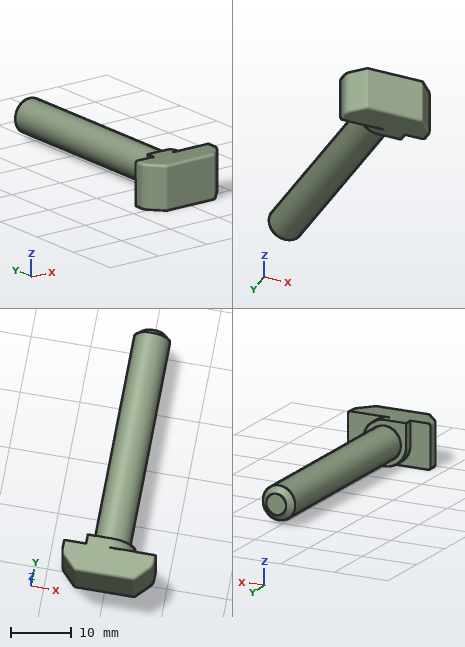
import cadquery as cq

TOTAL_LENGTH = 45.0
HEAD_WIDTH = 15.4
HEAD_HEIGHT = 8.0
HEAD_DEPTH = 5.0
BEVEL_WIDTH = 2.7
BEVEL_DEPTH = 2.9
SHOULDER_RADIUS = 2.0
NOSE_RADIUS = 0.5
RIM_RADIUS = 0.5
NECK_LENGTH = 1.6
SHAFT_DIAMETER = 6.05
TIP_LENGTH = 1.0
TIP_DIAMETER = 3.7
OVERLAP = 0.45

half_width = HEAD_WIDTH / 2
half_height = HEAD_HEIGHT / 2
nose_half_width = half_width - BEVEL_WIDTH
neck_end = HEAD_DEPTH + NECK_LENGTH


def make_head():
    """Beveled T-slot head with rounded corners and rims, square at the back."""
    head = (
        cq.Workplane("XY", origin=(0, 0, -half_height))
        .polyline([
            (-nose_half_width, 0),
            (nose_half_width, 0),
            (half_width, BEVEL_DEPTH),
            (half_width, HEAD_DEPTH),
            (-half_width, HEAD_DEPTH),
            (-half_width, BEVEL_DEPTH),
        ])
        .close()
        .extrude(HEAD_HEIGHT)
    )
    mid_bevel = BEVEL_DEPTH / 2
    shoulder_zone = cq.selectors.BoxSelector(
        (-HEAD_WIDTH, mid_bevel, -HEAD_HEIGHT),
        (HEAD_WIDTH, HEAD_DEPTH - OVERLAP, HEAD_HEIGHT),
    )
    head = head.edges("|Z").edges(shoulder_zone).fillet(SHOULDER_RADIUS)
    head = head.edges("|Z and <Y").fillet(NOSE_RADIUS)
    return head.faces("|Z").edges("not(>Y)").fillet(RIM_RADIUS)


def make_neck():
    """Anti-rotation neck: a square with two opposite corners fully rounded."""
    r = half_height
    arc_offset = r / 2**0.5
    return (
        cq.Workplane("XZ", origin=(0, neck_end, 0))
        .moveTo(-r, 0)
        .lineTo(-r, r)
        .lineTo(0, r)
        .threePointArc((arc_offset, arc_offset), (r, 0))
        .lineTo(r, -r)
        .lineTo(0, -r)
        .threePointArc((-arc_offset, -arc_offset), (-r, 0))
        .close()
        .extrude(NECK_LENGTH)
    )


def make_shaft():
    """Round shaft with a tapered tip, revolved about the Y axis."""
    radius = SHAFT_DIAMETER / 2
    shaft_start = HEAD_DEPTH - OVERLAP
    return (
        cq.Workplane("XY")
        .polyline([
            (0, shaft_start),
            (radius, shaft_start),
            (radius, TOTAL_LENGTH - TIP_LENGTH),
            (TIP_DIAMETER / 2, TOTAL_LENGTH),
            (0, TOTAL_LENGTH),
        ])
        .close()
        .revolve(360, (0, 0, 0), (0, 1, 0))
    )


result = make_head().union(make_neck()).union(make_shaft())